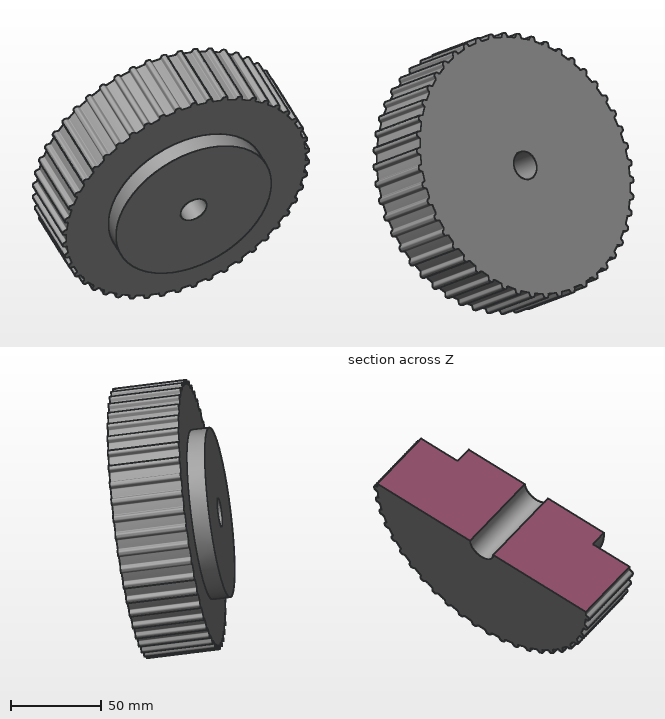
import cadquery as cq
import math

tooth_count = 48
tip_diameter = 150.95
rim_width = 40.0
hub_diameter = 95.0
hub_length = 10.0
bore_diameter = 16.0

groove_depth = 2.35
groove_floor_width = 5.2
groove_wall_angle = 25.0
tip_fillet_radius = 1.2
root_fillet_radius = 0.5

tip_radius = tip_diameter / 2
floor_radius = tip_radius - groove_depth
tooth_pitch_angle = 360.0 / tooth_count
cutter_overshoot = 1.0


def groove_cutter():
    """Prism of one groove, centred on +Z, with rounded root corners."""
    cutter_height = groove_depth + cutter_overshoot
    half_floor = groove_floor_width / 2
    floor_corner_z = math.sqrt(floor_radius**2 - half_floor**2)
    mouth_z = floor_corner_z + cutter_height
    half_mouth = half_floor + cutter_height * math.tan(math.radians(groove_wall_angle))
    return (
        cq.Workplane("YZ")
        .moveTo(-half_floor, floor_corner_z)
        .threePointArc((0, floor_radius), (half_floor, floor_corner_z))
        .lineTo(half_mouth, mouth_z)
        .lineTo(-half_mouth, mouth_z)
        .close()
        .extrude(rim_width)
        .edges("|X and <Z")
        .fillet(root_fillet_radius)
    )


def toothed_rim():
    """Disc with a groove between each pair of teeth and rounded tooth tips."""
    disc = cq.Workplane("YZ").circle(tip_radius).extrude(rim_width)
    cutter = groove_cutter().val()
    axis_start = cq.Vector(0, 0, 0)
    axis_end = cq.Vector(1, 0, 0)
    grooves = [
        cutter.rotate(axis_start, axis_end, index * tooth_pitch_angle)
        for index in range(tooth_count)
    ]
    rim = cq.Workplane(disc.val().cut(*grooves))

    def is_tip_edge(edge):
        center = edge.Center()
        return math.hypot(center.y, center.z) > tip_radius - groove_depth / 4

    tip_edges = [edge for edge in rim.edges("|X").vals() if is_tip_edge(edge)]
    return rim.newObject(tip_edges).fillet(tip_fillet_radius)


def hub():
    """Plain cylinder standing on the +X face of the rim."""
    return cq.Workplane("YZ", origin=(rim_width, 0, 0)).circle(hub_diameter / 2).extrude(hub_length)


def bore():
    """Cylinder removed through the rim and the hub."""
    return cq.Workplane("YZ").circle(bore_diameter / 2).extrude(rim_width + hub_length)


result = toothed_rim().union(hub()).cut(bore())